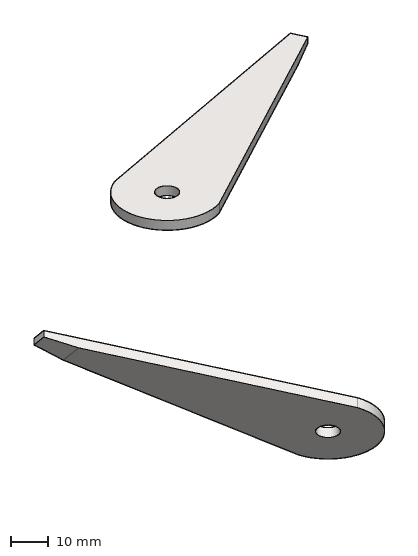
import cadquery as cq

total_length = 105.0
head_width = 30.0
thickness = 3.0
tip_width = 5.0
hole_diameter = 6.6
bevel_length = 10.0
tip_thickness = 2.0

head_radius = head_width / 2
tip_y = total_length - head_radius
bevel_depth = thickness - tip_thickness


def pointer_plate():
    """Flat pointer: half-round head with straight sides narrowing to a blunt tip."""
    return (
        cq.Workplane("XY")
        .moveTo(head_radius, 0)
        .lineTo(tip_width / 2, tip_y)
        .lineTo(-tip_width / 2, tip_y)
        .lineTo(-head_radius, 0)
        .threePointArc((0, -head_radius), (head_radius, 0))
        .close()
        .extrude(thickness)
    )


def tip_bevel():
    """Wedge removed from the underside so the plate thins towards the tip."""
    return (
        cq.Workplane("YZ")
        .moveTo(tip_y - bevel_length, 0)
        .lineTo(tip_y, 0)
        .lineTo(tip_y, bevel_depth)
        .close()
        .extrude(head_radius, both=True)
    )


def pivot_hole():
    """Round hole through the plate, concentric with the head."""
    return cq.Workplane("XY").circle(hole_diameter / 2).extrude(thickness)


result = pointer_plate().cut(tip_bevel()).cut(pivot_hole())